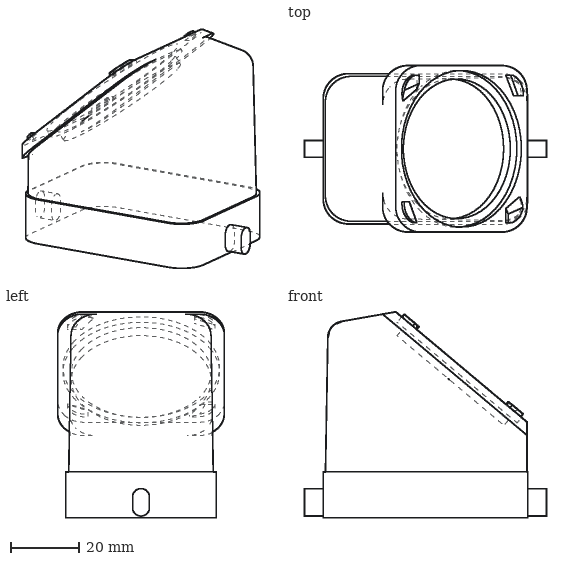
import cadquery as cq
import math

skirt_length = 60.15
skirt_width = 44.2
skirt_height = 13.5
pin_span = 71.2
pin_width = 5.0
pin_height = 8.05
pin_center_z = 4.55

body_left = -29.4
body_right = 29.8
body_width = 42.5
draft_angle = 1.0
corner_radius = 7.5
roof_radius = 5.0

total_height = 60.5
ridge_x = -8.75
slope_angle = 40.0
roof_angle = 10.0
plate_width = 49.0
plate_thickness = 3.0

outer_recess_diameter = 46.0
outer_recess_depth = 2.1
inner_recess_diameter = 41.0
inner_recess_depth = 5.1

tab_height = 1.1
tab_center = (17.1, 16.15)
tab_radius = 5.7
tab_outer_side = 21.65
ramp_foot = ((17.1, 17.5), (22.15, 14.2))
ramp_crest = ((17.1, 19.15), (22.85, 17.15))
chord_foot = ((17.0, tab_outer_side), (20.0, 15.6))
chord_crest = ((18.0, tab_outer_side), (20.8, 15.6))

slope = math.tan(math.radians(slope_angle))
roof_slope = math.tan(math.radians(roof_angle))
draft = math.tan(math.radians(draft_angle))
roof_direction = cq.Vector(1, 0, roof_slope)
roof_normal = cq.Vector(-roof_slope, 0, 1)
plate_center_x = (ridge_x + body_right) / 2


def slope_z(x):
    """Height of the sloped entry face at the given X."""
    return total_height - (x - ridge_x) * slope


def roof_z(x):
    """Height of the roof plane at the given X."""
    return total_height + (x - ridge_x) * roof_slope


def prism(points, width):
    """Block with the given XZ profile, centred on Y = 0."""
    return cq.Workplane("XZ").polyline(points).close().extrude(width / 2, both=True)


def on_slope(x, depth=0.0):
    """Point at the given X on the entry face, shifted straight down by depth."""
    return (x, slope_z(x) - depth)


def face_plane():
    """Workplane on the entry face: local X runs down the slope, local Y runs along +Y."""
    origin = (plate_center_x, 0, slope_z(plate_center_x))
    return cq.Workplane(cq.Plane(origin, xDir=(1, 0, -slope), normal=(slope, 0, 1)))


def make_skirt():
    block = cq.Workplane("XY").box(skirt_length, skirt_width, skirt_height, centered=(True, True, False))
    return block.edges("|Z").fillet(corner_radius)


def make_pins():
    pins = cq.Workplane("YZ").center(0, pin_center_z).slot2D(pin_height, pin_width, 90)
    return pins.extrude(pin_span / 2, both=True)


def make_body():
    left_rise = (roof_z(body_left) - skirt_height) / (1 - roof_slope * draft)
    left_top = body_left + left_rise * draft
    profile = [
        (body_left, skirt_height),
        (body_right, skirt_height),
        on_slope(body_right),
        (ridge_x, total_height),
        (left_top, roof_z(left_top)),
    ]
    half_base = body_width / 2
    half_top = half_base - (total_height - skirt_height) * draft
    side_taper = (
        cq.Workplane("YZ")
        .polyline(
            [
                (-half_base, skirt_height),
                (half_base, skirt_height),
                (half_top, total_height),
                (-half_top, total_height),
            ]
        )
        .close()
        .extrude(pin_span / 2, both=True)
    )
    body = prism(profile, plate_width).intersect(side_taper)

    upright_corners = body.faces("<X").edges("not |Y").add(body.faces(">X").edges("not |Y"))
    roof_sides = body.faces(cq.selectors.DirectionMinMaxSelector(roof_normal, True)).edges("not |Y")
    body = upright_corners.add(roof_sides).fillet(corner_radius)
    left_roof_end = (left_top, 0, roof_z(left_top))
    left_roof_edge = body.edges("|Y").edges(cq.selectors.NearestToPointSelector(left_roof_end))
    return left_roof_edge.fillet(roof_radius)


def make_plate():
    drop = plate_thickness / math.cos(math.radians(slope_angle))
    slab = prism(
        [
            on_slope(body_left),
            on_slope(body_right),
            on_slope(body_right, drop),
            on_slope(body_left, drop),
        ],
        plate_width,
    )
    under_roof = prism(
        [
            (body_left, roof_z(body_left)),
            (body_right, roof_z(body_right)),
            (body_right, 0),
            (body_left, 0),
        ],
        plate_width,
    )
    under_roof = under_roof.edges(cq.selectors.ParallelDirSelector(roof_direction))
    under_roof = under_roof.fillet(corner_radius)
    upright = cq.Workplane("XY").box(2 * body_right, plate_width, total_height, centered=(True, True, False))
    upright = upright.edges("|Z and >X").fillet(corner_radius)
    return slab.intersect(under_roof).intersect(upright)


def make_recess():
    outer = face_plane().circle(outer_recess_diameter / 2).extrude(-outer_recess_depth)
    inner = face_plane().circle(inner_recess_diameter / 2).extrude(-inner_recess_depth)
    return outer.union(inner)


def tab_blank(inner_end, inner_side):
    """Disc in the plate corner at +X and +Y of the face, trimmed to straight ends."""
    disc = face_plane().center(*tab_center).circle(tab_radius).extrude(tab_height)
    length = 2 * tab_radius
    width = tab_outer_side - inner_side
    trim = face_plane().center(inner_end, inner_side).rect(length, width, centered=False).extrude(tab_height)
    return disc.intersect(trim)


def behind_chord(foot, crest):
    """Ruled block on the outer side of a chord whose foot and crest lines differ."""
    reach = 2 * tab_radius

    def outline(line):
        (inner_x, inner_y), (outer_x, outer_y) = line
        return [
            (inner_x, inner_y),
            (outer_x, outer_y),
            (outer_x + reach, outer_y),
            (outer_x + reach, inner_y + reach),
            (inner_x, inner_y + reach),
        ]

    lower = face_plane().polyline(outline(foot)).close()
    return lower.workplane(offset=tab_height).polyline(outline(crest)).close().loft(ruled=True)


def make_tabs():
    ramped = tab_blank(ramp_foot[0][0], ramp_foot[1][1]).intersect(behind_chord(ramp_foot, ramp_crest))
    steep = tab_blank(chord_foot[0][0], chord_foot[1][1]).intersect(behind_chord(chord_foot, chord_crest))
    tabs = steep.union(ramped.mirror("XZ"))
    face = face_plane().plane
    opposite_tabs = tabs.rotate(face.origin.toTuple(), (face.origin + face.zDir).toTuple(), 180)
    return tabs.union(opposite_tabs)


result = (
    make_skirt()
    .union(make_pins())
    .union(make_body())
    .union(make_plate())
    .cut(make_recess())
    .union(make_tabs())
)